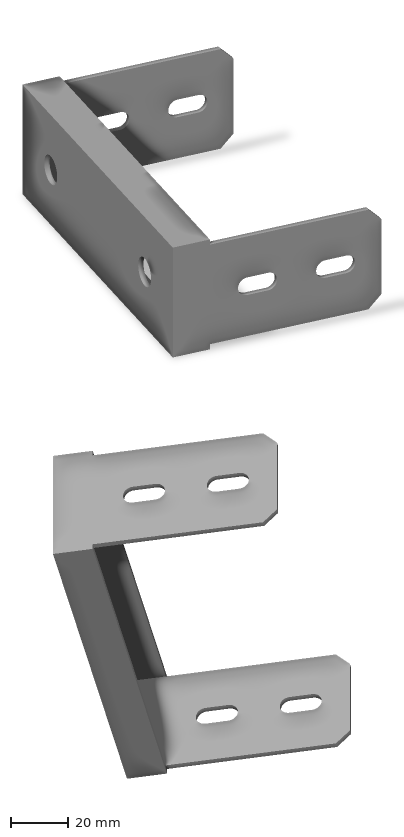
import cadquery as cq

width = 128.0
depth = 80.0
height = 44.0
sheet = 2.0

channel_depth = 14.2
arm_height = height - 2 * sheet
corner_chamfer = 5.0

hole_diameter = 11.0
hole_spacing = 80.0

slot_length = 15.0
slot_width = 7.0
slot_end_distance = 17.5
slot_spacing = 30.0

front_y = -depth / 2
back_y = depth / 2


def make_channel():
    """Tray with closed ends, open toward the back."""
    outer = cq.Workplane("XY").box(width, channel_depth, height)
    cavity = (
        cq.Workplane("XY")
        .box(width - 2 * sheet, channel_depth, height - 2 * sheet)
        .translate((0, sheet, 0))
    )
    return outer.cut(cavity).translate((0, front_y + channel_depth / 2, 0))


def make_arm(side):
    """Side plate with chamfered free corners; side is -1 or +1."""
    return (
        cq.Workplane("XY")
        .box(sheet, depth, arm_height)
        .edges("|X and >Y")
        .chamfer(corner_chamfer)
        .translate((side * (width - sheet) / 2, 0, 0))
    )


def make_web_holes():
    """Cutters for the two round holes through the front web."""
    return (
        cq.Workplane("XZ", origin=(0, front_y, 0))
        .pushPoints([(-hole_spacing / 2, 0), (hole_spacing / 2, 0)])
        .circle(hole_diameter / 2)
        .extrude(-channel_depth)
    )


def make_arm_slots():
    """Cutters for the slots, passing through both arms."""
    outer_slot_y = back_y - slot_end_distance
    return (
        cq.Workplane("YZ")
        .pushPoints([(outer_slot_y, 0), (outer_slot_y - slot_spacing, 0)])
        .slot2D(slot_length, slot_width)
        .extrude(width / 2, both=True)
    )


body = make_channel()
for side in (-1, 1):
    body = body.union(make_arm(side))

result = body.cut(make_web_holes()).cut(make_arm_slots())